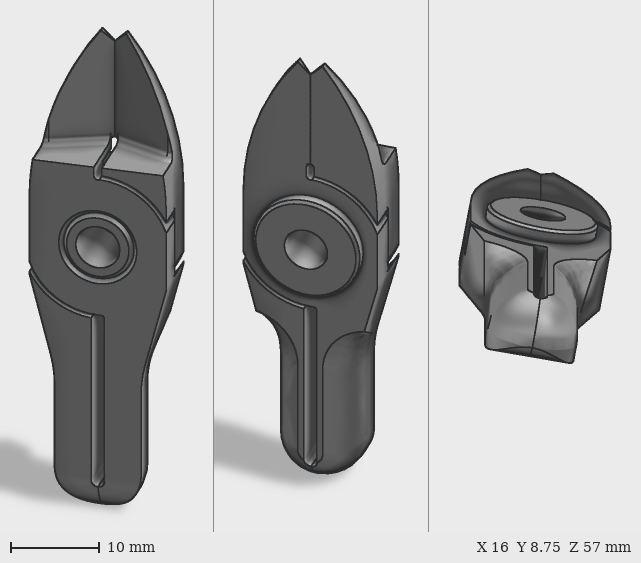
import cadquery as cq
import math


body_width = 16.0
thickness = 7.25
tip_z = 23.95
handle_end_z = -33.05
half_width = body_width / 2
back_y = thickness / 2
front_y = -back_y
reach = 114.0

jaw_start_z = 5.3
tip_x = 1.5
notch_z = 22.5
shoulder_z = 10.0
ridge_y = 3.5
ledge_x = 6.95
ledge_y = 0.7
shoulder_fillet = 1.0

taper_start_z = -4.4
handle_half_width = 5.1
handle_corner_z = -15.9
blend_length = 1.8
handle_round_z = handle_end_z + handle_half_width
rounding_y = -1.7
rounding_radius = 5.75
runout_back_z = -10.5
blend_end_back_z = -16.55
handle_sections = 6
nose_start_z = -29.05

jaw_slot_width = 0.9
jaw_slot_bottom_z = 8.45
jaw_slot_top_z = 10.55
handle_slot_width = 1.55
handle_slot_bottom_z = -30.1
handle_slot_corner = 0.4
lobe_radius = 8.5
lobe_clearance = 0.5

shank_radius = 4.1
bore_radius = 2.55
rivet_head_radius = 6.3
rivet_head_height = 1.5
rivet_head_chamfer = 0.35
rim_chamfer = 0.45

taper_slope = (half_width - handle_half_width) / (taper_start_z - handle_corner_z)
blend_top_z = handle_corner_z + blend_length * math.cos(math.atan(taper_slope))
blend_bottom_z = handle_corner_z - blend_length


def block(x_min, x_max, y_min, y_max, z_min, z_max):
    size = (x_max - x_min, y_max - y_min, z_max - z_min)
    return cq.Workplane("XY").box(*size, centered=False).translate((x_min, y_min, z_min))


def plate(sketch, y_min, y_max):
    """Extrude an XZ sketch, drawn on the plane Y = 0, between two Y levels."""
    return sketch.extrude(y_max - y_min).translate((0, y_max, 0))


def xz():
    """Sketch plane with +X right and +Z up, facing -Y."""
    return cq.Workplane("XZ")


def handle_outline(y):
    """Closed XZ wire of both handles at depth y, drawn in behind the rounding plane."""
    depth = y - rounding_y
    progress = depth / (back_y - rounding_y)
    inset = rounding_radius - math.sqrt(rounding_radius**2 - depth**2)
    side_x = handle_half_width - inset
    top_z = blend_top_z + progress * (runout_back_z - blend_top_z)
    top_x = half_width - taper_slope * (taper_start_z - top_z)
    end_z = blend_bottom_z + progress**2 * (blend_end_back_z - blend_bottom_z)

    run = top_x - side_x
    rise = top_z - end_z
    radius = (run**2 + rise**2) / (2 * run)
    half_sweep = math.asin(rise / radius) / 2
    mid_x = side_x + radius * (1 - math.cos(half_sweep))
    mid_z = end_z + radius * math.sin(half_sweep)

    return (
        cq.Workplane(cq.Plane((0, y, 0), (1, 0, 0), (0, -1, 0)))
        .moveTo(half_width, taper_start_z)
        .lineTo(top_x, top_z)
        .threePointArc((mid_x, mid_z), (side_x, end_z))
        .lineTo(side_x, handle_round_z)
        .threePointArc((0, handle_round_z - side_x), (-side_x, handle_round_z))
        .lineTo(-side_x, end_z)
        .threePointArc((-mid_x, mid_z), (-top_x, top_z))
        .lineTo(-half_width, taper_start_z)
        .close()
    )


def handles():
    front = handle_outline(rounding_y).extrude(rounding_y - front_y)
    step = (back_y - rounding_y) / (handle_sections - 1)
    wires = [handle_outline(rounding_y + i * step).wire().val() for i in range(handle_sections)]
    back = cq.Workplane(cq.Solid.makeLoft(wires))
    return front.union(back).cut(nose_cutter())


def nose_cutter():
    """Everything in front of the arc that runs from the front face to the handle end."""
    setback = rounding_y - front_y
    drop = nose_start_z - handle_end_z
    radius = (setback**2 + drop**2) / (2 * setback)
    nose = (
        cq.Workplane("YZ").center(front_y + radius, nose_start_z).circle(radius)
        .extrude(half_width, both=True)
    )
    corner = block(-half_width, half_width, front_y, rounding_y, handle_end_z, nose_start_z)
    return corner.cut(nose)


def jaw_blank():
    """Full-thickness block from the taper start up to the notched tips."""
    run = half_width - tip_x
    rise = tip_z - jaw_start_z
    radius = (run**2 + rise**2) / (2 * run)
    half_sweep = math.asin(rise / radius) / 2
    mid_x = half_width - radius * (1 - math.cos(half_sweep))
    mid_z = jaw_start_z + radius * math.sin(half_sweep)
    outline = (
        xz()
        .moveTo(-half_width, taper_start_z)
        .lineTo(half_width, taper_start_z)
        .lineTo(half_width, jaw_start_z)
        .threePointArc((mid_x, mid_z), (tip_x, tip_z))
        .lineTo(0, notch_z)
        .lineTo(-tip_x, tip_z)
        .threePointArc((-mid_x, mid_z), (-half_width, jaw_start_z))
        .close()
    )
    return plate(outline, front_y, back_y)


def jaw_face_cutter():
    """Space in front of the jaw faces, filleted at the shoulder except across the jaw slot."""
    sharp = (
        cq.Workplane("XY", origin=(0, 0, shoulder_z))
        .polyline([
            (-body_width, -thickness),
            (body_width, -thickness),
            (body_width, ledge_y),
            (ledge_x, ledge_y),
            (0, ridge_y),
            (-ledge_x, ledge_y),
            (-body_width, ledge_y),
        ])
        .close()
        .extrude(tip_z - shoulder_z)
    )
    face_side = cq.selectors.BoxSelector((-body_width, 0, 0), (body_width, thickness, tip_z))
    filleted = sharp.faces("<Z").edges(face_side).fillet(shoulder_fillet)
    slot_half = jaw_slot_width / 2
    slot_strip = block(-slot_half, slot_half, -thickness, thickness, shoulder_z, tip_z)
    return filleted.union(sharp.intersect(slot_strip))


def jaw_slot():
    length = jaw_slot_top_z - jaw_slot_bottom_z
    middle_z = (jaw_slot_top_z + jaw_slot_bottom_z) / 2
    return plate(xz().center(0, middle_z).slot2D(length, jaw_slot_width, 90), -thickness, thickness)


def handle_slot():
    """Slot with a round lower end and small corner radii next to the lobes."""
    half = handle_slot_width / 2
    round_z = handle_slot_bottom_z + half
    outline = (
        xz()
        .moveTo(-half, -lobe_radius)
        .lineTo(half, -lobe_radius)
        .lineTo(half, round_z)
        .threePointArc((0, handle_slot_bottom_z), (-half, round_z))
        .close()
    )
    slot = plate(outline, -thickness, thickness)
    return slot.edges("|Y and >Z").fillet(handle_slot_corner)


def rivet_hole():
    """Through hole for the shank, chamfered at the front face."""
    hole = plate(xz().circle(shank_radius), front_y, back_y)
    rim = (
        xz().workplane(offset=back_y).circle(shank_radius + rim_chamfer)
        .workplane(offset=-rim_chamfer).circle(shank_radius).loft()
    )
    return hole.union(rim)


def pliers_envelope():
    """Both levers together, before they are parted at the lap."""
    return (
        jaw_blank().union(handles())
        .cut(jaw_face_cutter())
        .cut(jaw_slot())
        .cut(handle_slot())
        .cut(rivet_hole())
    )


def lever(envelope, side, lobe_direction):
    """One lever: jaw on the given X side, handle on the other, lobe towards lobe_direction in Y."""
    jaw_x = sorted((0, side * reach))
    handle_x = sorted((0, -side * reach))
    jaw_region = block(*jaw_x, -reach, reach, 0, reach)
    handle_region = block(*handle_x, -reach, reach, -reach, 0)
    lobe_y = sorted((0, lobe_direction * thickness))
    recess_y = sorted((0, -lobe_direction * thickness))
    lobe = plate(xz().circle(lobe_radius), *lobe_y)
    clearance = plate(xz().circle(lobe_radius + lobe_clearance), *recess_y)
    region = jaw_region.union(handle_region).cut(clearance).union(lobe)
    return envelope.intersect(region)


def hollow_rivet():
    """Turned profile in the YZ plane, revolved about Y."""
    head_y = back_y + rivet_head_height
    return (
        cq.Workplane("YZ")
        .polyline([
            (front_y, bore_radius),
            (front_y, shank_radius - rim_chamfer),
            (front_y + rim_chamfer, shank_radius),
            (back_y, shank_radius),
            (back_y, rivet_head_radius),
            (head_y - rivet_head_chamfer, rivet_head_radius),
            (head_y, rivet_head_radius - rivet_head_chamfer),
            (head_y, bore_radius),
        ])
        .close()
        .revolve(360, (0, 0), (1, 0))
    )


envelope = pliers_envelope()
front_lobe_lever = lever(envelope, side=-1, lobe_direction=-1)
back_lobe_lever = lever(envelope, side=1, lobe_direction=1)
rivet = hollow_rivet()

result = cq.Compound.makeCompound([front_lobe_lever.val(), back_lobe_lever.val(), rivet.val()])